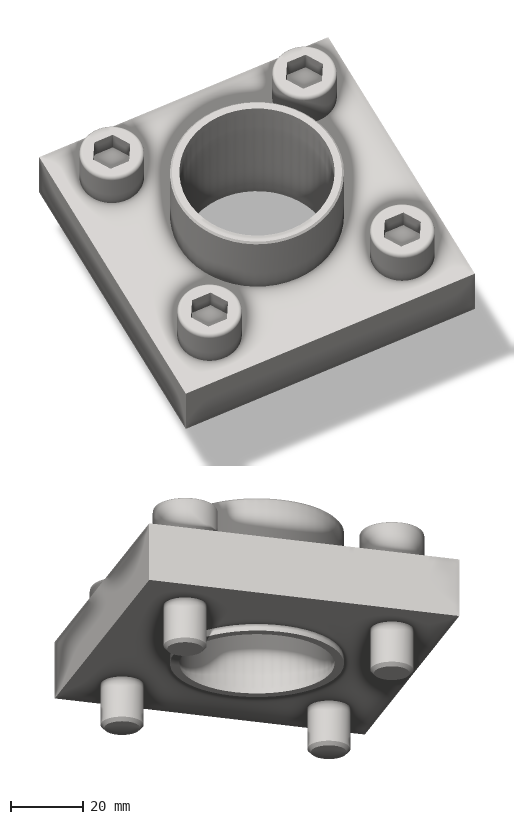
import cadquery as cq
import math

plate_side = 90.0
plate_thickness = 17.0

pipe_diameter = 48.3
bore_diameter = 43.1
pipe_height = 21.0
pipe_chamfer = 0.5
spigot_length = 2.0

screw_spacing = 60.0
shank_diameter = 12.0
head_diameter = 18.0
head_height = 12.0
head_rounding = 1.0
shank_projection = 13.05
shank_chamfer = 1.0
socket_width = 10.0
socket_depth = 6.0


def make_plate():
    return cq.Workplane("XY").rect(plate_side, plate_side).extrude(-plate_thickness)


def make_pipe():
    bottom = -plate_thickness - spigot_length
    pipe = cq.Workplane("XY", origin=(0, 0, bottom)).circle(pipe_diameter / 2).extrude(pipe_height - bottom)
    return pipe.faces(">Z").chamfer(pipe_chamfer)


def make_screw():
    """Cap screw on the Z axis, its head resting on the plate."""
    head = cq.Workplane("XY").circle(head_diameter / 2).extrude(head_height)
    head = head.faces(">Z").fillet(head_rounding)
    socket_corners = socket_width / math.cos(math.pi / 6)
    socket = (
        cq.Workplane("XY", origin=(0, 0, head_height))
        .transformed(rotate=(0, 0, 90))
        .polygon(6, socket_corners)
        .extrude(-socket_depth)
    )
    shank = cq.Workplane("XY").circle(shank_diameter / 2).extrude(-plate_thickness - shank_projection)
    shank = shank.faces("<Z").chamfer(shank_chamfer)
    return head.cut(socket).union(shank)


flange = make_plate().union(make_pipe())
bore = (
    cq.Workplane("XY", origin=(0, 0, pipe_height))
    .circle(bore_diameter / 2)
    .extrude(-(pipe_height + plate_thickness + spigot_length))
)
result = flange.cut(bore)

screw = make_screw()
for x_side in (-1, 1):
    for y_side in (-1, 1):
        position = (x_side * screw_spacing / 2, y_side * screw_spacing / 2, 0)
        result = result.union(screw.translate(position))